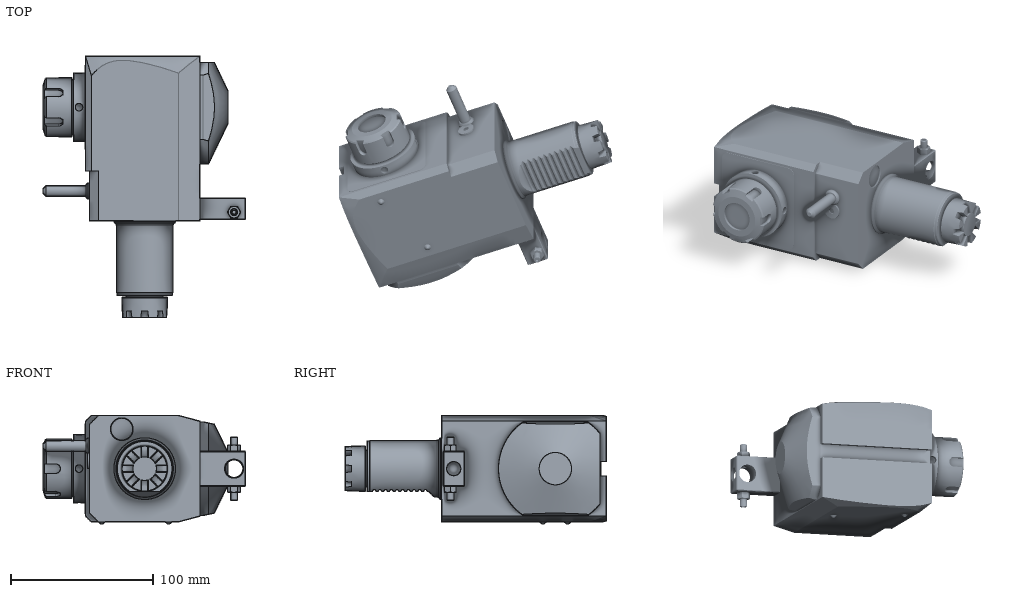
import cadquery as cq
import math


body_half_height = 37.5
body_length = 116.0
body_right = 38.9
shoulder_length = 35.0
shoulder_left = -38.9
shoulder_chamfer = 6.4
head_left = -41.7
head_chamfer = 4.2
flank_start = 23.8
flank_angle = 15.0
flank_end_z = body_half_height - (body_right - flank_start) * math.tan(math.radians(flank_angle))
roof_angle = 12.0
roof_edge = [(-31.5, 35.8), (-13.0, 36.85), (7.5, 36.05), (flank_start, 34.95)]
roof_cut_height = 12.0
roof_cut_side = 1.0
roof_cut_run = 20.0
rear_slot_width = 10.0
rear_slot_depth = 4.0
plug_x, plug_z = -16.1, 27.8
plug_radius = 7.7
plug_depth = 1.0
plug_chamfer = 0.3

spindle_y = 80.0
pad_left = -42.1
pad_length, pad_height = 58.5, 63.2
pad_corner = 5.0
ring_left = -50.0
ring_radius = 24.1
ring_hole_x = -46.2
ring_hole_diameter = 5.3
ring_hole_depth = 3.0
ring_hole_cone = 1.5
ring_hole_count = 4
neck_radius = 19.5
clamp_nut_right = -51.0
clamp_nut_left = -71.6
clamp_nut_radius = 20.9
clamp_nut_rim_x, clamp_nut_rim_radius = -70.0, 20.1
clamp_nut_chamfer_x = -69.2
clamp_nut_back_chamfer = 0.6
clamp_nut_face_radius = 15.0
bore_radius = 10.4
bore_depth = 2.0
wrench_slot_spacing = 60
wrench_slot_width = 6.6
wrench_slot_end = -59.3
long_slot_end = -57.3
long_slot_angles = (-30, 30)
wrench_slot_floor = 18.2

cover_radius = 40.0
cover_rim_x = 44.9
cover_face_x, cover_face_radius = 58.7, 11.4
cover_half_height = 33.0
cover_taper_start = 41.0
cover_taper_angle = 12.0
cover_flat_y = 111.5

shank_radius = 20.0
flange_radius = 21.7
flange_edge = 0.9
flange_thickness = 2.2
shank_end = 52.6
flange_root_radius, flange_root_end = 20.2, 3.4
shank_tail_length, shank_tail_radius = 2.3, 19.6
shank_chamfer = 0.4
shank_neck_radius = 13.0
drive_nut_start, drive_nut_end = 53.7, 68.0
drive_nut_radius = 16.1
drive_nut_chamfer = 0.4
drive_nut_tip_radius = 15.7
drive_slot_count = 8
drive_slot_width = 4.3
drive_slot_mouth = 5.5
drive_slot_depth = 4.5
drive_core_radius = 8.3
rack_flat = 16.1
rack_run_in = 5.1
rack_first_gap, rack_pitch, rack_gap_count = 11.4, 4.0, 10
rack_gap_depth, rack_gap_mouth, rack_gap_floor = 1.3, 3.0, 0.9

pin_y, pin_z = 21.05, 16.0
pin_radius, pin_tip_radius = 3.8, 1.6
pin_end, pin_taper_x = clamp_nut_left, -69.4
collar_radius, collar_top_radius = 5.75, 4.6
collar_left, collar_edge_x = -41.3, -39.9
screw_head_z = 5.8
screw_head_left = -40.4
screw_socket_size = 4.4
screw_socket_depth = 1.0

bracket_right = 71.0
bracket_y_min, bracket_y_max = 1.0, 16.1
bracket_half_height = 12.4
bracket_chamfer = 0.5
clamp_x, clamp_y = 62.9, 6.2
clamp_hole_radius = 6.2
pipe_hole_radius, pipe_hole_y = 5.0, 8.5
set_screw_radius, set_screw_end = 2.5, 22.3
set_screw_chamfer = 0.4
set_screw_socket, set_screw_socket_depth = 3.0, 2.0
set_screw_seat_radius, set_screw_seat_end = 2.1, 7.2
lock_nut_corners, lock_nut_height = 9.4, 4.3
lock_nut_chamfer = 0.6

plunger_places = [(-30.2, 88.6), (16.8, 71.3)]
plunger_radius, plunger_tip_radius, plunger_height = 2.4, 0.6, 1.6


def turned_x(points, y=0.0, z=0.0):
    """Solid turned about an X-parallel axis from (x, radius) points, closed along the axis."""
    outline = [(points[0][0], 0)] + points + [(points[-1][0], 0)]
    turned = cq.Workplane("XY").polyline(outline).close().revolve(360, (0, 0, 0), (1, 0, 0))
    return turned.translate((0, y, z))


def turned_y(points):
    """Solid turned about the Y axis from (y, radius) points, closed along the axis."""
    outline = [(0, points[0][0])] + [(r, y) for y, r in points] + [(0, points[-1][0])]
    return cq.Workplane("XY").polyline(outline).close().revolve(360, (0, 0, 0), (0, 1, 0))


def bar(left, chamfer, y_start, y_end):
    """Housing portion: chamfered left edges, flanks tapering in on the right."""
    half = body_half_height
    upper = [
        (left, half - chamfer),
        (left + chamfer, half),
        (flank_start, half),
        (body_right, flank_end_z),
    ]
    lower = [(x, -z) for x, z in reversed(upper)]
    section = cq.Workplane("XZ", origin=(0, y_start, 0)).polyline(upper + lower).close()
    return section.extrude(y_start - y_end)


def roof_cutter():
    """Material above the curved roof that slopes down to the rear end."""
    start = (head_left, body_half_height - head_chamfer)
    end = (body_right, flank_end_z)
    above = body_half_height + roof_cut_height
    face = (
        cq.Workplane("XZ", origin=(0, body_length, 0))
        .moveTo(*start)
        .spline(roof_edge + [end], includeCurrent=True)
        .lineTo(end[0] + roof_cut_side, end[1])
        .lineTo(end[0] + roof_cut_side, above)
        .lineTo(start[0] - roof_cut_side, above)
        .lineTo(start[0] - roof_cut_side, start[1])
        .close()
        .wires()
        .val()
    )
    rise = roof_cut_run * math.tan(math.radians(roof_angle))
    return cq.Workplane(cq.Solid.extrudeLinear(face, [], cq.Vector(0, -roof_cut_run, rise)))


def housing():
    body = bar(shoulder_left, shoulder_chamfer, 0, shoulder_length)
    body = body.union(bar(head_left, head_chamfer, shoulder_length, body_length))
    cutter = roof_cutter()
    body = body.cut(cutter).cut(cutter.mirror("XY"))
    slot = cq.Workplane("XY").box(
        2 * body_length, 2 * rear_slot_depth, rear_slot_width
    ).translate((0, body_length, 0))
    recess_axis = (cq.Vector(plug_x, 0, plug_z), cq.Vector(0, 1, 0))
    plug = cq.Solid.makeCylinder(plug_radius, plug_depth, *recess_axis)
    countersink = cq.Solid.makeCone(plug_radius + plug_chamfer, plug_radius, plug_chamfer, *recess_axis)
    return body.cut(slot).cut(cq.Workplane(plug)).cut(cq.Workplane(countersink))


def wrench_slot(end):
    """Round-ended slot on the top of the clamping nut, open at its left face."""
    length = end - clamp_nut_left
    return (
        cq.Workplane("XY", origin=(clamp_nut_left, 0, wrench_slot_floor))
        .slot2D(2 * length, wrench_slot_width)
        .extrude(clamp_nut_radius)
    )


def spindle():
    pad = (
        cq.Workplane("YZ", origin=(pad_left, spindle_y, 0))
        .rect(pad_length, pad_height)
        .extrude(head_left - pad_left)
        .edges("|X")
        .fillet(pad_corner)
    )
    turned = turned_x(
        [
            (clamp_nut_left, clamp_nut_face_radius),
            (clamp_nut_rim_x, clamp_nut_rim_radius),
            (clamp_nut_chamfer_x, clamp_nut_radius),
            (clamp_nut_right - clamp_nut_back_chamfer, clamp_nut_radius),
            (clamp_nut_right, clamp_nut_radius - clamp_nut_back_chamfer),
            (clamp_nut_right, neck_radius),
            (ring_left, neck_radius),
            (ring_left, ring_radius),
            (pad_left, ring_radius),
        ]
    )
    bore = cq.Workplane("YZ", origin=(clamp_nut_left, 0, 0)).circle(bore_radius).extrude(bore_depth)
    turned = turned.cut(bore)

    for angle in range(-90, 270, wrench_slot_spacing):
        end = long_slot_end if angle in long_slot_angles else wrench_slot_end
        turned = turned.cut(wrench_slot(end).rotate((0, 0, 0), (1, 0, 0), angle))

    ring_hole = (
        cq.Workplane("XY", origin=(ring_hole_x, 0, ring_radius - ring_hole_depth))
        .circle(ring_hole_diameter / 2)
        .extrude(2 * ring_hole_depth)
    )
    hole_tip = cq.Solid.makeCone(
        ring_hole_diameter / 2,
        0,
        ring_hole_cone,
        cq.Vector(ring_hole_x, 0, ring_radius - ring_hole_depth),
        cq.Vector(0, 0, -1),
    )
    ring_hole = ring_hole.union(cq.Workplane(hole_tip))
    for i in range(ring_hole_count):
        angle = i * 360 / ring_hole_count
        turned = turned.cut(ring_hole.rotate((0, 0, 0), (1, 0, 0), angle))
    return pad.union(turned.translate((0, spindle_y, 0)))


def cover():
    cone = turned_x(
        [
            (body_right, cover_radius),
            (cover_rim_x, cover_radius),
            (cover_face_x, cover_face_radius),
        ],
        y=spindle_y,
    )
    taper_drop = (cover_face_x - cover_taper_start) * math.tan(math.radians(cover_taper_angle))
    upper = [
        (body_right, cover_half_height),
        (cover_taper_start, cover_half_height),
        (cover_face_x, cover_half_height - taper_drop),
    ]
    lower = [(x, -z) for x, z in reversed(upper)]
    envelope = (
        cq.Workplane("XZ", origin=(0, cover_flat_y, 0))
        .polyline(upper + lower)
        .close()
        .extrude(2 * cover_radius)
    )
    return cone.intersect(envelope)


def shank():
    turned = turned_y(
        [
            (0, flange_radius),
            (-flange_edge, flange_radius),
            (-flange_thickness, flange_root_radius),
            (-flange_root_end, shank_radius),
            (shank_tail_length - shank_end, shank_radius),
            (shank_tail_length - shank_chamfer - shank_end, shank_tail_radius),
            (shank_chamfer - shank_end, shank_tail_radius),
            (-shank_end, shank_tail_radius - shank_chamfer),
            (-shank_end, shank_neck_radius),
            (-drive_nut_start, shank_neck_radius),
            (-drive_nut_start, drive_nut_radius - drive_nut_chamfer),
            (-drive_nut_start - drive_nut_chamfer, drive_nut_radius),
            (-drive_nut_end, drive_nut_tip_radius),
        ]
    )
    return turned.cut(rack_cutter()).cut(drive_slots())


def rack_cutter():
    """Flat under the shank with a sloped run-in and evenly spaced tooth gaps."""
    width = 4 * shank_radius
    below = -2 * shank_radius
    depth = shank_radius - rack_flat
    cutter = (
        cq.Workplane("YZ", origin=(-width / 2, 0, 0))
        .polyline(
            [
                (-rack_run_in, -shank_radius),
                (-rack_run_in - depth, -rack_flat),
                (-shank_end, -rack_flat),
                (-shank_end, below),
                (-rack_run_in, below),
            ]
        )
        .close()
        .extrude(width)
    )
    for i in range(rack_gap_count):
        gap_y = -rack_first_gap - i * rack_pitch
        gap = (
            cq.Workplane("YZ", origin=(-width / 2, gap_y, -rack_flat))
            .polyline(
                [
                    (-rack_gap_mouth / 2, 0),
                    (-rack_gap_floor / 2, rack_gap_depth),
                    (rack_gap_floor / 2, rack_gap_depth),
                    (rack_gap_mouth / 2, 0),
                ]
            )
            .close()
            .extrude(width)
        )
        cutter = cutter.union(gap)
    return cutter


def drive_slots():
    """Radial slots that widen toward the mouth, across the end of the drive nut."""
    half_width = drive_slot_width / 2
    half_mouth = drive_slot_mouth / 2
    floor_y = drive_slot_depth - drive_nut_end
    slot = (
        cq.Workplane("XY")
        .polyline(
            [
                (-half_width, floor_y),
                (half_width, floor_y),
                (half_mouth, -drive_nut_end),
                (-half_mouth, -drive_nut_end),
            ]
        )
        .close()
        .extrude(2 * drive_nut_radius)
    )
    slots = slot
    for i in range(1, drive_slot_count):
        slots = slots.union(slot.rotate((0, 0, 0), (0, 1, 0), i * 360 / drive_slot_count))
    core = cq.Workplane("XZ").circle(drive_core_radius).extrude(drive_nut_end)
    return slots.cut(core)


def coolant_pin():
    return turned_x(
        [
            (pin_end, pin_tip_radius),
            (pin_taper_x, pin_radius),
            (collar_left, pin_radius),
            (collar_left, collar_top_radius),
            (collar_edge_x, collar_radius),
            (shoulder_left, collar_radius),
        ],
        y=pin_y,
        z=pin_z,
    )


def screw_head():
    face = cq.Workplane("YZ", origin=(screw_head_left, pin_y, screw_head_z))
    head = face.circle(collar_radius).extrude(shoulder_left - screw_head_left)
    return head.cut(face.polygon(6, screw_socket_size).extrude(screw_socket_depth))


def bracket():
    block = cq.Workplane("XY").box(
        bracket_right - body_right,
        bracket_y_max - bracket_y_min,
        2 * bracket_half_height,
    ).translate(((bracket_right + body_right) / 2, (bracket_y_min + bracket_y_max) / 2, 0))
    block = block.edges("|X or >X").chamfer(bracket_chamfer)

    lock_nut = (
        cq.Workplane("XY", origin=(clamp_x, clamp_y, bracket_half_height))
        .polygon(6, lock_nut_corners)
        .extrude(lock_nut_height)
    )
    rounding = (
        cq.Workplane("XY", origin=(clamp_x, clamp_y, bracket_half_height))
        .circle(lock_nut_corners / 2)
        .extrude(lock_nut_height)
        .faces(">Z")
        .chamfer(lock_nut_chamfer)
    )
    lock_nut = lock_nut.intersect(rounding)
    screw = (
        cq.Workplane("XY", origin=(clamp_x, clamp_y, bracket_half_height))
        .circle(set_screw_radius)
        .extrude(set_screw_end - bracket_half_height)
        .faces(">Z")
        .chamfer(set_screw_chamfer)
    )
    socket = (
        cq.Workplane("XY", origin=(clamp_x, clamp_y, set_screw_end))
        .polygon(6, set_screw_socket)
        .extrude(-set_screw_socket_depth)
    )
    clamp = lock_nut.union(screw).cut(socket)
    clamp_hole = (
        cq.Workplane("XZ", origin=(clamp_x, 0, 0))
        .circle(clamp_hole_radius)
        .extrude(-2 * bracket_y_max)
    )
    hole_rim = cq.Solid.makeCone(
        clamp_hole_radius + bracket_chamfer,
        clamp_hole_radius,
        bracket_chamfer,
        cq.Vector(clamp_x, bracket_y_min, 0),
        cq.Vector(0, 1, 0),
    )
    pipe_hole = (
        cq.Workplane("YZ", origin=(clamp_x, pipe_hole_y, 0))
        .circle(pipe_hole_radius)
        .extrude(bracket_right - clamp_x)
    )
    seats = (
        cq.Workplane("XY", origin=(clamp_x, clamp_y, 0))
        .circle(set_screw_seat_radius)
        .extrude(set_screw_seat_end, both=True)
    )
    block = block.union(clamp).union(clamp.mirror("XY"))
    return block.cut(clamp_hole).cut(cq.Workplane(hole_rim)).cut(pipe_hole).cut(seats)


def plunger(x, y):
    return cq.Workplane(
        cq.Solid.makeCone(
            plunger_radius,
            plunger_tip_radius,
            plunger_height,
            cq.Vector(x, y, -body_half_height),
            cq.Vector(0, 0, -1),
        )
    )


result = housing()
for portion in (spindle(), cover(), shank(), screw_head(), coolant_pin(), bracket()):
    result = result.union(portion)
for plunger_x, plunger_y in plunger_places:
    result = result.union(plunger(plunger_x, plunger_y))